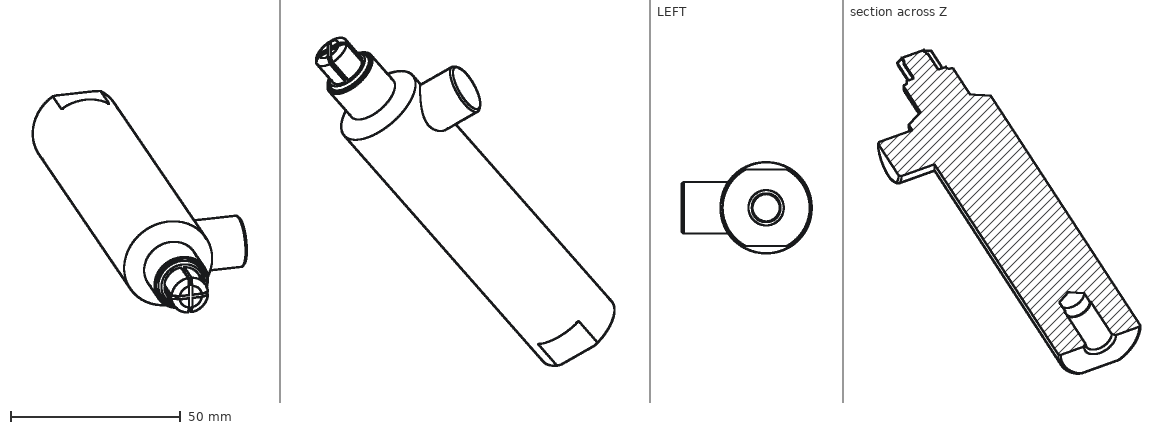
import cadquery as cq
import math

total_length = 126.9
body_diameter = 26.9
body_radius = body_diameter / 2

shoulder_x = 101.8
rear_chamfer_length = 0.4
rear_chamfer_depth = 0.6

neck_radius = 16.4 / 2
shoulder_angle = 60.0
neck_end_x = 116.6
neck_chamfer = 0.4
neck_start_x = shoulder_x + (body_radius - neck_radius) / math.tan(math.radians(shoulder_angle))

collar_base_radius = 7.1
collar_end_radius = 6.5
collar_end_x = 117.8
collar_length = collar_end_x - neck_end_x
collar_rise = collar_base_radius - collar_end_radius
collar_arc_radius = (collar_length**2 + collar_rise**2) / (2 * collar_rise)

tip_radius = 5.6
tip_chamfer_x = 125.8
tip_end_radius = 3.4
slot_width = 1.0
slot_count = 4
slot_floor_radius = 4.0
core_start_x = 124.7
core_end_x = 126.6
core_radius = 3.7

flat_length = 10.0
flat_half_height = 11.3

hole_mouth_diameter = 10.4
bore_diameter = 8.5
bore_depth = 15.2
pilot_diameter = 8.0
pilot_depth = 19.0
drill_point_angle = 118.0

branch_diameter = 15.2
branch_x = 91.9
branch_end_y = 24.9
branch_chamfer = 0.6


def revolve_about_axis(profile):
    return profile.revolve(360, (0, 0, 0), (1, 0, 0))


def make_turned_body():
    profile = (
        cq.Workplane("XY")
        .lineTo(0, body_radius - rear_chamfer_depth)
        .lineTo(rear_chamfer_length, body_radius)
        .lineTo(shoulder_x, body_radius)
        .lineTo(neck_start_x, neck_radius)
        .lineTo(neck_end_x - neck_chamfer, neck_radius)
        .lineTo(neck_end_x, neck_radius - neck_chamfer)
        .lineTo(neck_end_x, collar_base_radius)
        .radiusArc((collar_end_x, collar_end_radius), -collar_arc_radius)
        .lineTo(collar_end_x, tip_radius)
        .lineTo(tip_chamfer_x, tip_radius)
        .lineTo(total_length, tip_end_radius)
        .lineTo(total_length, 0)
        .close()
    )
    return revolve_about_axis(profile)


def make_branch():
    return (
        cq.Workplane("XZ", origin=(branch_x, 0, 0))
        .circle(branch_diameter / 2)
        .extrude(-branch_end_y)
        .faces(">Y")
        .chamfer(branch_chamfer)
    )


def make_slots():
    """Lengthwise tip slots whose flat floors step down to a round core near the end."""
    slot_length = total_length - collar_end_x
    slot_depth = tip_radius - slot_floor_radius
    slot = cq.Workplane("XY").box(slot_length, slot_depth, slot_width)
    slot = slot.translate((collar_end_x + slot_length / 2, slot_floor_radius + slot_depth / 2, 0))

    end_length = total_length - core_start_x
    end_slot = cq.Workplane("XY").box(end_length, tip_radius, slot_width)
    end_slot = end_slot.translate((core_start_x + end_length / 2, tip_radius / 2, 0))
    core = (
        cq.Workplane("YZ", origin=(core_start_x, 0, 0))
        .circle(core_radius)
        .extrude(core_end_x - core_start_x)
    )
    slot = slot.union(end_slot.cut(core))

    slots = cq.Workplane("XY")
    for index in range(slot_count):
        slots = slots.union(slot.rotate((0, 0, 0), (1, 0, 0), index * 360 / slot_count))
    return slots


def make_flat_cutters():
    cutter_height = body_radius - flat_half_height
    cutters = cq.Workplane("XY")
    for side in (-1, 1):
        cutters = cutters.union(
            cq.Workplane("XY")
            .box(flat_length, body_diameter, cutter_height)
            .translate((flat_length / 2, 0, side * (flat_half_height + cutter_height / 2)))
        )
    return cutters


def make_rear_hole():
    bore_radius = bore_diameter / 2
    pilot_radius = pilot_diameter / 2
    mouth_radius = hole_mouth_diameter / 2
    point_length = pilot_radius / math.tan(math.radians(drill_point_angle / 2))
    profile = (
        cq.Workplane("XY")
        .lineTo(0, mouth_radius)
        .lineTo(mouth_radius - bore_radius, bore_radius)
        .lineTo(bore_depth, bore_radius)
        .lineTo(bore_depth, pilot_radius)
        .lineTo(pilot_depth, pilot_radius)
        .lineTo(pilot_depth + point_length, 0)
        .close()
    )
    return revolve_about_axis(profile)


result = (
    make_turned_body()
    .union(make_branch())
    .cut(make_slots())
    .cut(make_flat_cutters())
    .cut(make_rear_hole())
)